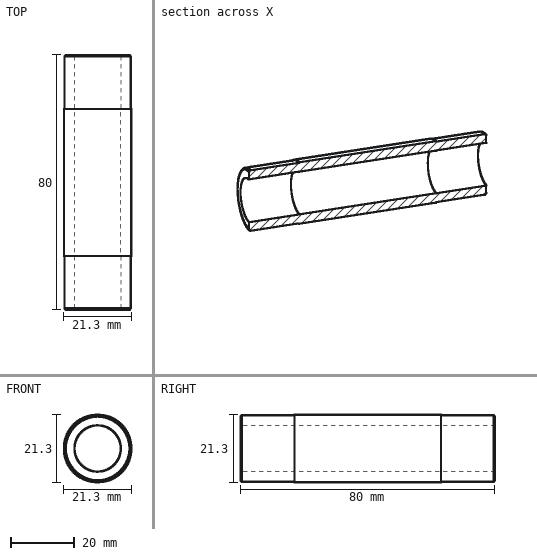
import cadquery as cq

length = 80.0
body_diameter = 21.3
end_diameter = 21.0
bore_diameter = 14.5
end_bore_diameter = 14.6
end_length = 17.0
chamfer = 0.5

body_length = length - 2 * end_length


def cylinder_along_y(diameter, start, height):
    """Solid cylinder on the Y axis, running from Y = start toward +Y."""
    return cq.Workplane("XZ", origin=(0, start, 0)).circle(diameter / 2).extrude(-height)


tube = cylinder_along_y(end_diameter, -length / 2, length)
tube = tube.faces("<Y or >Y").edges().chamfer(chamfer)

tube = tube.union(cylinder_along_y(body_diameter, -body_length / 2, body_length))

tube = tube.cut(cylinder_along_y(bore_diameter, -length / 2, length))

for bore_start in (-length / 2, body_length / 2):
    tube = tube.cut(cylinder_along_y(end_bore_diameter, bore_start, end_length))

result = tube